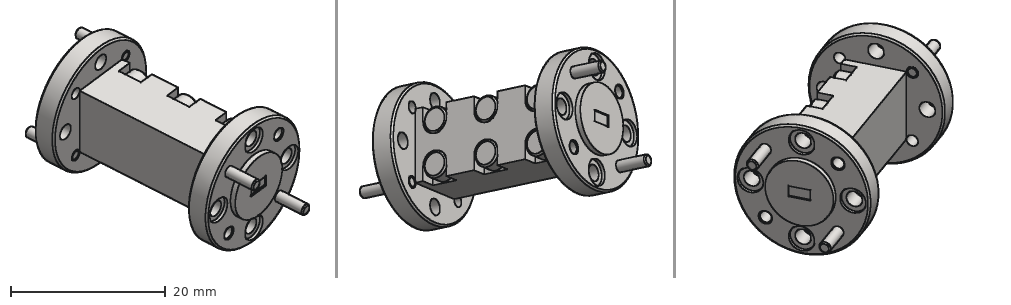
import cadquery as cq
import math

total_length = 38.23
boss_span = 30.6
flange_span = 28.98
flange_thickness = 3.3
flange_outer_x = flange_span / 2
flange_inner_x = flange_outer_x - flange_thickness

flange_diameter = 19.05
flange_chamfer = 0.25
boss_diameter = 9.52
hole_circle_radius = 7.15
screw_hole_diameter = 2.2
counterbore_diameter = 3.6
counterbore_depth = 0.5

pin_diameter = 1.6
pin_chamfer = 0.2
pin_offset = hole_circle_radius / math.sqrt(2)
open_hole_chamfer = 0.15

window_width = 3.1
window_height = 1.55
window_depth = 0.25

block_front_y = -4.25
block_back_y = 4.4
block_width = block_back_y - block_front_y
block_height = 10.0
block_length = 2 * flange_inner_x

screw_pitch = 8.1
pocket_width = 3.7
pocket_depth = 2.2
head_diameter = 3.65
head_chamfer = 0.25
head_edge_distance = 2.0
head_axis_z = block_height / 2 - head_edge_distance
pocket_seat_y = block_back_y - pocket_depth

sides = (-1, 1)


def x_cylinder(diameter, x_start, x_end, y=0.0, z=0.0):
    """Cylinder along X between two X positions."""
    return cq.Workplane("YZ", origin=(x_start, y, z)).circle(diameter / 2).extrude(x_end - x_start)


def pin_places(end):
    """(y, z) of the two diagonal dowel pins of one flange."""
    return [(pin_offset, -end * pin_offset), (-pin_offset, end * pin_offset)]


def open_hole_places(end):
    """(y, z) of the two open holes of one flange, on the other diagonal."""
    return [(y, -z) for y, z in pin_places(end)]


def screw_hole_places():
    """(y, z) of the four flange screw holes."""
    r = hole_circle_radius
    return [(r, 0), (-r, 0), (0, r), (0, -r)]


def make_pocket(x, side):
    """U-shaped pocket around one screw head, open to the back and to the top or bottom."""
    axis_z = side * head_axis_z
    at_seat = cq.Workplane("XZ", origin=(x, pocket_seat_y, axis_z))
    round_end = at_seat.circle(pocket_width / 2).extrude(-pocket_depth)
    slot_center = at_seat.center(0, side * head_edge_distance / 2)
    slot = slot_center.rect(pocket_width, head_edge_distance).extrude(-pocket_depth)
    return round_end.union(slot)


def make_screw_head(x, side):
    """Screw head standing on the pocket seat, flush with the back of the block."""
    at_seat = cq.Workplane("XZ", origin=(x, pocket_seat_y, side * head_axis_z))
    head = at_seat.circle(head_diameter / 2).extrude(-pocket_depth)
    return head.faces(">Y").chamfer(head_chamfer)


def make_block():
    """Central block with a row of screw heads along its top and its bottom edge."""
    center_y = (block_front_y + block_back_y) / 2
    block = cq.Workplane("XY", origin=(0, center_y, 0)).box(block_length, block_width, block_height)
    for side in sides:
        for x in (-screw_pitch, 0, screw_pitch):
            block = block.cut(make_pocket(x, side)).union(make_screw_head(x, side))
    return block


def make_open_hole(end, y, z):
    """Cutter for a through hole with a chamfered mouth on the flange's outer face."""
    outer_x = end * flange_outer_x
    hole_radius = pin_diameter / 2
    hole = x_cylinder(pin_diameter, end * flange_inner_x, outer_x, y, z)
    mouth = cq.Solid.makeCone(
        hole_radius + open_hole_chamfer,
        hole_radius,
        open_hole_chamfer,
        pnt=cq.Vector(outer_x, y, z),
        dir=cq.Vector(-end, 0, 0),
    )
    return hole.union(cq.Workplane(mouth))


def make_flange(end):
    """Flange disc with its boss, counterbored screw holes, open holes and waveguide window."""
    outer_x = end * flange_outer_x
    inner_x = end * flange_inner_x
    seat_x = outer_x - end * counterbore_depth
    boss_x = end * boss_span / 2
    flange = x_cylinder(flange_diameter, inner_x, outer_x).edges().chamfer(flange_chamfer)
    flange = flange.union(x_cylinder(boss_diameter, outer_x, boss_x))
    for y, z in screw_hole_places():
        flange = flange.cut(x_cylinder(screw_hole_diameter, inner_x, outer_x, y, z))
        flange = flange.cut(x_cylinder(counterbore_diameter, seat_x, outer_x, y, z))
    for y, z in open_hole_places(end):
        flange = flange.cut(make_open_hole(end, y, z))
    at_boss_face = cq.Workplane("YZ", origin=(boss_x, 0, 0))
    window = at_boss_face.rect(window_width, window_height).extrude(-end * window_depth)
    return flange.cut(window)


def make_housing():
    """Block and both flanges as one solid, with a through hole for each dowel pin."""
    housing = make_block()
    for end in sides:
        flange = make_flange(end)
        for y, z in pin_places(end):
            flange = flange.cut(x_cylinder(pin_diameter, end * flange_inner_x, end * flange_outer_x, y, z))
        housing = housing.union(flange)
    return housing


def make_pin(end, y, z):
    """Dowel pin chamfered at both ends, flush with the flange's inner face."""
    pin = x_cylinder(pin_diameter, end * flange_inner_x, end * total_length / 2, y, z)
    return pin.faces("<X or >X").chamfer(pin_chamfer)


housing = make_housing()
pins = [make_pin(end, y, z) for end in sides for y, z in pin_places(end)]

result = cq.Compound.makeCompound([housing.val(), *[pin.val() for pin in pins]])